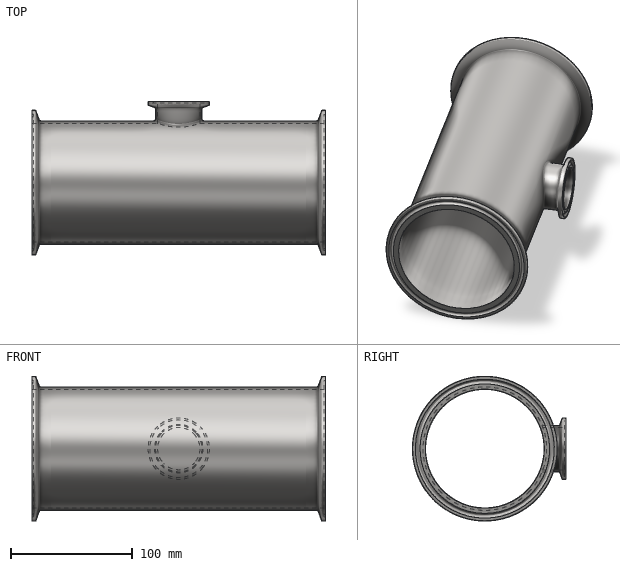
import cadquery as cq
import math

length = 241.3
tube_od = 101.5
tube_id = 97.5
flange_od = 119.0
ferrule_length = 16.0

branch_od = 38.1
branch_id = 34.7
branch_flange_od = 50.5
branch_ferrule_length = 12.8
overall_width = 126.2
branch_reach = overall_width - flange_od / 2
weld_radius = 1.5

rim_thickness = 3.1
rim_round = 0.7
taper_angle = 20.0
neck_round = 1.2

groove_width = 3.9
groove_floor_radius = 1.2
groove_wall_angle = 45.0
groove_mid_d = 110.3
branch_groove_mid_d = 43.7


def gasket_groove(mid_d):
    """Ring cutter about Z for a groove below z = 0."""
    mid_r = mid_d / 2
    half_width = groove_width / 2
    wall_angle = math.radians(groove_wall_angle)
    half_floor = groove_floor_radius * math.cos(wall_angle)
    wall_depth = (half_width - half_floor) / math.tan(wall_angle)
    floor_depth = wall_depth + groove_floor_radius * (1 - math.sin(wall_angle))
    return (
        cq.Workplane("XZ")
        .moveTo(mid_r - half_width, 0)
        .lineTo(mid_r - half_floor, -wall_depth)
        .threePointArc((mid_r, -floor_depth), (mid_r + half_floor, -wall_depth))
        .lineTo(mid_r + half_width, 0)
        .close()
        .revolve(360, (0, 0, 0), (0, 1, 0))
    )


def ferrule(flange_d, neck_d, bore_d, groove_d, face_to_seam):
    """Clamp ferrule about Z, with its face at z = 0 and its neck towards -Z."""
    rim_r = flange_d / 2
    neck_r = neck_d / 2
    bore_r = bore_d / 2
    taper_end = rim_thickness + (rim_r - neck_r) * math.tan(math.radians(taper_angle))
    blank = (
        cq.Workplane("XZ")
        .moveTo(bore_r, 0)
        .lineTo(rim_r, 0)
        .lineTo(rim_r, -rim_thickness)
        .lineTo(neck_r, -taper_end)
        .lineTo(neck_r, -face_to_seam)
        .lineTo(bore_r, -face_to_seam)
        .close()
        .revolve(360, (0, 0, 0), (0, 1, 0))
    )
    rim_edges = cq.selectors.RadiusNthSelector(-1)
    neck_edge = cq.selectors.BoxSelector(
        (-rim_r, -rim_r, -taper_end - neck_round / 2),
        (rim_r, rim_r, -taper_end + neck_round / 2),
    )
    rounded = blank.edges(rim_edges).fillet(rim_round).edges(neck_edge).fillet(neck_round)
    return rounded.cut(gasket_groove(groove_d))


def tube_with_branch():
    """Tube and branch up to the weld seams, blended together and then bored."""
    half_tube = length / 2 - ferrule_length
    branch_end = branch_reach - branch_ferrule_length
    tube = cq.Workplane("YZ").circle(tube_od / 2).extrude(half_tube, both=True)
    branch = cq.Workplane("XZ").circle(branch_od / 2).extrude(-branch_end)
    junction = cq.selectors.BoxSelector(
        (-branch_od, tube_od / 4, -branch_od),
        (branch_od, tube_od / 2, branch_od),
    )
    solid = tube.union(branch).edges(junction).fillet(weld_radius)

    tube_bore = cq.Workplane("YZ").circle(tube_id / 2).extrude(half_tube, both=True)
    branch_bore = cq.Workplane("XZ").circle(branch_id / 2).extrude(-branch_end)
    return solid.cut(tube_bore).cut(branch_bore)


main_ferrule = ferrule(flange_od, tube_od, tube_id, groove_mid_d, ferrule_length)
right_ferrule = main_ferrule.rotate((0, 0, 0), (0, 1, 0), 90).translate((length / 2, 0, 0))
left_ferrule = right_ferrule.mirror("YZ")
branch_ferrule = (
    ferrule(branch_flange_od, branch_od, branch_id, branch_groove_mid_d, branch_ferrule_length)
    .rotate((0, 0, 0), (1, 0, 0), -90)
    .translate((0, branch_reach, 0))
)

result = tube_with_branch()
for end_ferrule in (right_ferrule, left_ferrule, branch_ferrule):
    result = result.union(end_ferrule, clean=False)